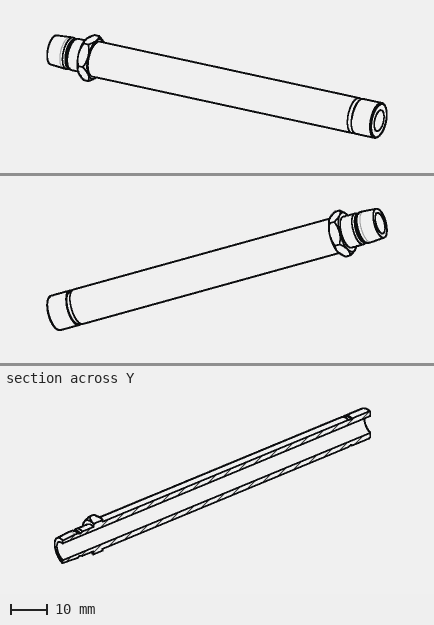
import cadquery as cq
import math

length = 100.0
body_radius = 4.9
bore_radius = 2.9

stub_radius = 4.4
nose_radius = 4.1
taper_end = 4.0
groove_start = 4.9
groove_floor_start = 5.5
groove_floor_end = 5.8
groove_end = 6.4
groove_radius = 4.0

nut_start = 10.0
nut_width = 3.0
nut_flats = 11.0
nut_chamfer = 0.8
nut_face_radius = 5.5

cap_length = 6.0
cap_chamfer = 0.3
neck_length = 1.2
neck_radius = 4.5

nut_end = nut_start + nut_width
cap_start = length - cap_length
neck_start = cap_start - neck_length
nut_corner_radius = nut_flats / math.sqrt(3)


def revolve_about_x(outline):
    """Solid of revolution from (x, radius) points that begin and end on the X axis."""
    profile = cq.Workplane("XY").polyline(outline).close()
    return profile.revolve(360, (0, 0, 0), (1, 0, 0))


def make_tube():
    """Stub, body, neck and cap as one turned shape."""
    return revolve_about_x([
        (0, 0),
        (0, nose_radius),
        (taper_end, stub_radius),
        (groove_start, stub_radius),
        (groove_floor_start, groove_radius),
        (groove_floor_end, groove_radius),
        (groove_end, stub_radius),
        (nut_start, stub_radius),
        (nut_start, body_radius),
        (neck_start, body_radius),
        (cap_start, neck_radius),
        (cap_start, body_radius),
        (length - cap_chamfer, body_radius),
        (length, body_radius - cap_chamfer),
        (length, 0),
    ])


def make_nut():
    """Hexagonal prism with the corners turned down on both faces."""
    hexagon = (
        cq.Workplane("YZ", origin=(nut_start, 0, 0))
        .polygon(6, 2 * nut_corner_radius)
        .extrude(nut_width)
    )
    turned_envelope = revolve_about_x([
        (nut_start, 0),
        (nut_start, nut_face_radius),
        (nut_start + nut_chamfer, nut_corner_radius),
        (nut_end - nut_chamfer, nut_corner_radius),
        (nut_end, nut_face_radius),
        (nut_end, 0),
    ])
    return hexagon.intersect(turned_envelope)


def make_bore():
    """Plain hole through the full length."""
    return cq.Workplane("YZ").circle(bore_radius).extrude(length)


result = make_tube().union(make_nut()).cut(make_bore())